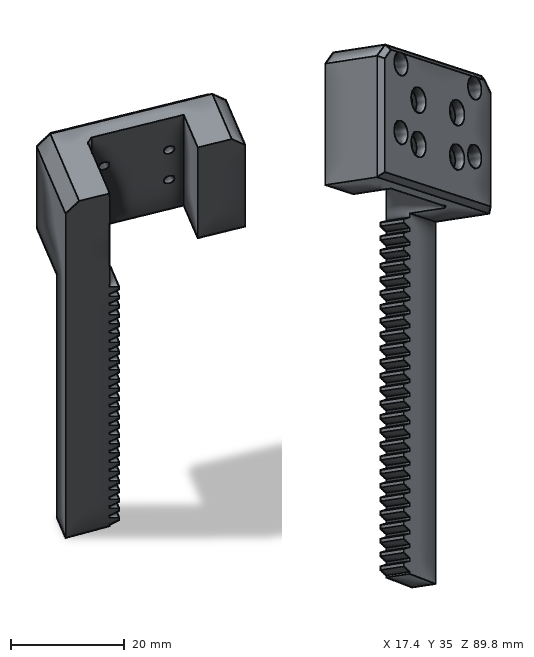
import cadquery as cq
import math

length_x = 17.4
width_y = 35.0
height_z = 89.8

head_height = 24.4
head_bottom = height_z - head_height
plate_thickness = 4.0
far_arm_length = 12.0
far_arm_width = 8.8
rack_arm_width = 8.2
inner_chamfer = 1.0
corner_chamfer = 2.5
face_chamfer = 1.0

leg_thickness = 5.0
tooth_count = 26
module = 0.79
pitch = math.pi * module
tooth_height_in_modules = 2.25
tooth_height = tooth_height_in_modules * module
pressure_angle = math.radians(20)
flank_run = tooth_height * math.tan(pressure_angle)
tip_width = pitch / 2 - 2 * module * math.tan(pressure_angle)
tooth_base_width = tip_width + 2 * flank_run
first_tooth_z = 1.6
end_slope_rise = 0.3

screw_spacing_y = 12.0
screw_spacing_z = 8.0
screw_centre_below_top = 12.5
screw_diameter = 2.0
counterbore_diameter = 4.6
counterbore_depth = 2.0

magnet_spacing_y = 23.0
magnet_spacing_z = 12.4
magnet_centre_below_top = 9.2
magnet_diameter = 4.2
magnet_depth = 3.0


def make_head():
    block = cq.Workplane("XY").box(length_x, width_y, head_height, centered=False)
    block = block.edges("|X and >Z").chamfer(corner_chamfer)
    block = block.faces("<X").chamfer(face_chamfer)

    channel_width = width_y - far_arm_width - rack_arm_width
    channel = (
        cq.Workplane("XY")
        .box(length_x, channel_width, head_height, centered=False)
        .edges("|Z and <X and <Y")
        .chamfer(inner_chamfer)
        .translate((plate_thickness, rack_arm_width, 0))
    )
    far_arm_trim = (
        cq.Workplane("XY")
        .box(length_x, width_y, head_height, centered=False)
        .translate((far_arm_length, width_y - far_arm_width, 0))
    )
    return block.cut(channel).cut(far_arm_trim).translate((0, 0, head_bottom))


def make_rack():
    """Leg with its teeth, drawn in the YZ plane and extruded along X."""
    outline = cq.Workplane("YZ").moveTo(0, 0).lineTo(rack_arm_width, end_slope_rise)
    for index in range(tooth_count):
        centre = first_tooth_z + index * pitch
        outline = (
            outline.lineTo(rack_arm_width, centre - tooth_base_width / 2)
            .lineTo(rack_arm_width + tooth_height, centre - tip_width / 2)
            .lineTo(rack_arm_width + tooth_height, centre + tip_width / 2)
            .lineTo(rack_arm_width, centre + tooth_base_width / 2)
        )
    leg_top = head_bottom + head_height / 2
    outline = outline.lineTo(rack_arm_width, leg_top).lineTo(0, leg_top).close()
    return outline.extrude(leg_thickness).translate((length_x - leg_thickness, 0, 0))


def make_bores(spacing_y, spacing_z, centre_below_top, diameter, depth):
    """Four cylinders in a rectangle, entering the plate from its -X face."""
    return (
        cq.Workplane("YZ")
        .center(width_y / 2, height_z - centre_below_top)
        .rarray(spacing_y, spacing_z, 2, 2)
        .circle(diameter / 2)
        .extrude(depth)
    )


screw_pattern = (screw_spacing_y, screw_spacing_z, screw_centre_below_top)
magnet_pattern = (magnet_spacing_y, magnet_spacing_z, magnet_centre_below_top)

result = (
    make_head()
    .union(make_rack())
    .cut(make_bores(*screw_pattern, screw_diameter, plate_thickness))
    .cut(make_bores(*screw_pattern, counterbore_diameter, counterbore_depth))
    .cut(make_bores(*magnet_pattern, magnet_diameter, magnet_depth))
)